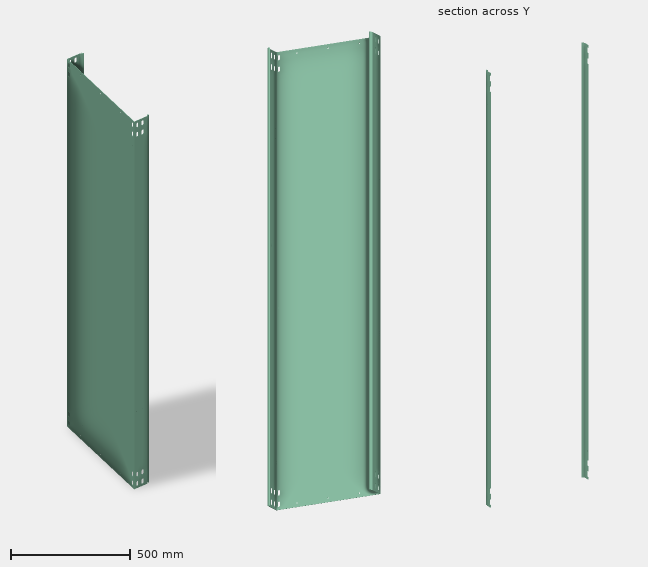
import cadquery as cq
import math

width = 500.0
depth = 80.0
height = 2000.0

sheet = 1.5
lip_start = 65.0
lip_width = 8.0
lip_edge_width = 8.0
lip_slope = (depth - lip_start) / (lip_width + lip_edge_width)

slot_pitch = 50.0
first_slot = slot_pitch / 2
slot_rows = (first_slot, first_slot + slot_pitch)
slot_heights = [z for row in slot_rows for z in (row, height - row)]

face_slot_width = 10.0
face_slot_length = 25.0
face_slot_inset = 13.0

wide_slot_width = 10.0
wide_slot_length = 25.0
wide_slot_setback = 42.0

narrow_slot_width = 8.0
narrow_slot_length = 25.0
narrow_slot_setback = 15.0

hole_diameter = 5.0
hole_pitch = 150.0
hole_inset = 18.0

half_width = width / 2
cut_depth = 2 * sheet


def unit_normal(start, end):
    """Unit vector pointing to the right of the line from start to end."""
    dx = end[0] - start[0]
    dy = end[1] - start[1]
    length = math.hypot(dx, dy)
    return dy / length, -dx / length


def inner_line(outer):
    """Line of straight legs one sheet thickness to the right of the outer line, with sharp corners."""
    normals = [unit_normal(a, b) for a, b in zip(outer, outer[1:])]
    before = normals[:1] + normals
    after = normals + normals[-1:]
    inner = []
    for (x, y), (ax, ay), (bx, by) in zip(outer, before, after):
        reach = sheet / (1 + ax * bx + ay * by)
        inner.append((x + (ax + bx) * reach, y + (ay + by) * reach))
    return inner


def folded_sheet():
    """Front face and two side walls, each wall ending in a Z-shaped lip."""
    lip_fold = lip_start + lip_width * lip_slope
    outer = [
        (0, 0),
        (-half_width, 0),
        (-half_width, lip_start),
        (-half_width + lip_width, lip_fold),
        (-half_width, lip_fold),
        (-half_width + lip_edge_width, depth),
    ]
    outline = outer + inner_line(outer)[::-1]
    half = cq.Workplane("XY").polyline(outline).close().extrude(height)
    return half.union(half.mirror("YZ"))


def face_slots():
    """Slots through the front face, beside both side walls."""
    x = half_width - face_slot_inset
    points = [(side * x, z) for side in (-1, 1) for z in slot_heights]
    slots = cq.Workplane("XZ").pushPoints(points).slot2D(face_slot_length, face_slot_width, 90)
    return slots.extrude(-cut_depth)


def wall_slots(setback, slot_width, slot_length):
    """Slots through both side walls, at one distance behind the front face."""
    points = [(setback, z) for z in slot_heights]
    slots = cq.Workplane("YZ").pushPoints(points).slot2D(slot_length, slot_width, 90)
    return slots.extrude(half_width, both=True)


def edge_holes():
    """Three round holes along the top edge and three along the bottom edge."""
    points = [(i * hole_pitch, z) for i in (-1, 0, 1) for z in (hole_inset, height - hole_inset)]
    return cq.Workplane("XZ").pushPoints(points).circle(hole_diameter / 2).extrude(-cut_depth)


result = (
    folded_sheet()
    .cut(face_slots())
    .cut(wall_slots(wide_slot_setback, wide_slot_width, wide_slot_length))
    .cut(wall_slots(narrow_slot_setback, narrow_slot_width, narrow_slot_length))
    .cut(edge_holes())
)